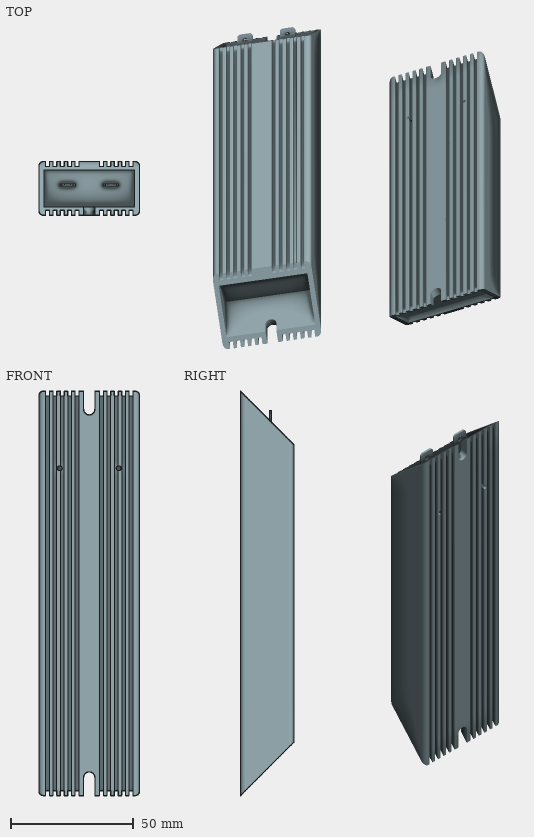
import cadquery as cq
import math

width = 41.15
depth = 22.0
length = 165.0
corner_radius = 2.0

groove_width = 1.5
groove_depth = 2.0
groove_pitch = 3.0
grooves_per_side = 5
first_groove_x = 5.0
fin_tip_radius = 0.25

bore_width = 37.0
bore_depth = 15.0
filling_length = 120.0

slot_width = 4.5
slot_length = 9.7

tab_width = 6.3
tab_thickness = 0.8
tab_spacing = 17.7
tab_y = 1.35
tab_top_z = 74.5
tab_embed = 1.0
tab_corner = 0.9
tab_hole_diameter = 2.4
tab_hole_drop = 3.5

pin_hole_diameter = 2.0
pin_hole_z = 51.0
pin_hole_spacing = 24.0

front_y = -depth / 2
front_wall = (depth - bore_depth) / 2


def make_housing():
    """Rounded rectangular bar with both ends mitred at 45 degrees."""
    bar = cq.Workplane("XY").box(width, depth, length).edges("|Z").fillet(corner_radius)
    mitre = (
        cq.Workplane("YZ")
        .polyline([
            (front_y, -length / 2),
            (front_y, length / 2),
            (-front_y, length / 2 - depth),
            (-front_y, depth - length / 2),
        ])
        .close()
        .extrude(width / 2, both=True)
    )
    return bar.intersect(mitre)


def make_groove(x, face):
    """Full-length groove at x in the given face (+1 back, -1 front), flared by the rounded fin tips."""
    half = groove_width / 2
    flare = half + fin_tip_radius
    shoulder = groove_depth - fin_tip_radius
    arc_inset = fin_tip_radius * (1 - math.sqrt(0.5))
    profile = (
        cq.Workplane("XY")
        .moveTo(-half, -groove_depth)
        .lineTo(half, -groove_depth)
        .lineTo(half, shoulder - groove_depth)
        .threePointArc((half + arc_inset, -arc_inset), (flare, 0))
        .lineTo(-flare, 0)
        .threePointArc((-half - arc_inset, -arc_inset), (-half, shoulder - groove_depth))
        .close()
    )
    groove = profile.extrude(length / 2, both=True)
    if face < 0:
        groove = groove.mirror("XZ")
    return groove.translate((x, face * depth / 2, 0))


def make_bore(bore_length):
    """Block filling the bore section over the given length, centred on Z = 0."""
    return (
        cq.Workplane("XY")
        .rect(bore_width, bore_depth)
        .extrude(bore_length / 2, both=True)
    )


def make_mounting_slot(end):
    """Round-bottomed slot through the front wall, open at the given end (+1 or -1)."""
    return (
        cq.Workplane("XZ", origin=(0, front_y, end * length / 2))
        .slot2D(2 * slot_length, slot_width, 90)
        .extrude(-front_wall)
    )


def make_tab(x):
    """Flat terminal tab with clipped top corners and a wire hole."""
    height = tab_top_z - filling_length / 2 + tab_embed
    hole = (
        cq.Workplane("XZ", origin=(x, tab_y, tab_top_z - tab_hole_drop))
        .circle(tab_hole_diameter / 2)
        .extrude(tab_thickness, both=True)
    )
    return (
        cq.Workplane("XY")
        .box(tab_width, tab_thickness, height)
        .edges("|Y and >Z")
        .chamfer(tab_corner)
        .translate((x, tab_y, tab_top_z - height / 2))
        .cut(hole)
    )


def make_pin_holes():
    """Pair of small holes drilled through the front wall down to the filling."""
    return (
        cq.Workplane("XZ", origin=(0, front_y, pin_hole_z))
        .pushPoints([(-pin_hole_spacing / 2, 0), (pin_hole_spacing / 2, 0)])
        .circle(pin_hole_diameter / 2)
        .extrude(-front_wall)
    )


result = make_housing().cut(make_bore(length))
for index in range(grooves_per_side):
    groove_x = first_groove_x + index * groove_pitch
    for side in (-1, 1):
        for face in (-1, 1):
            result = result.cut(make_groove(side * groove_x, face))
for end in (-1, 1):
    result = result.cut(make_mounting_slot(end))
result = result.cut(make_pin_holes())
result = result.union(make_bore(filling_length))
for side in (-1, 1):
    result = result.union(make_tab(side * tab_spacing / 2))